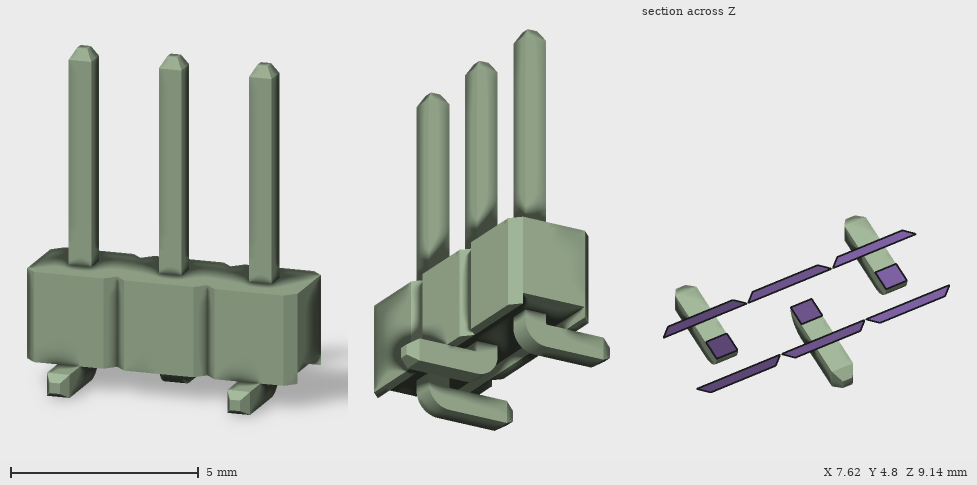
import cadquery as cq
import math

POLE_COUNT = 3
PITCH = 2.54

BLOCK_DEPTH = 2.495
BLOCK_HEIGHT = 2.5
CORNER_CHAMFER = 0.29
SLOT_HEIGHT = 0.3
SLOT_WIDTH = BLOCK_DEPTH - 2 * CORNER_CHAMFER

PIN_WIDTH = 0.64
PIN_TOP = 9.14
FOOT_REACH = 4.8 / 2
TIP_LENGTH = 0.3
TIP_WIDTH = 0.29
OUTER_BEND_RADIUS = 0.65
INNER_BEND_RADIUS = 0.05

BLOCK_BOTTOM = PIN_WIDTH
HALF_PIN = PIN_WIDTH / 2
TIP_TAPER = math.degrees(math.atan2((PIN_WIDTH - TIP_WIDTH) / 2, TIP_LENGTH))


def make_block():
    """Chamfered block with a channel across its underside."""
    block = (
        cq.Workplane("XY", origin=(0, 0, BLOCK_BOTTOM))
        .rect(PITCH, BLOCK_DEPTH)
        .extrude(BLOCK_HEIGHT)
        .edges("|Z")
        .chamfer(CORNER_CHAMFER)
    )
    slot = (
        cq.Workplane("XY", origin=(0, 0, BLOCK_BOTTOM))
        .rect(PITCH, SLOT_WIDTH)
        .extrude(SLOT_HEIGHT)
    )
    return block.cut(slot)


def make_tip(base_plane):
    """Square frustum that narrows a pin end along the plane normal."""
    return cq.Workplane(base_plane).rect(PIN_WIDTH, PIN_WIDTH).extrude(TIP_LENGTH, taper=TIP_TAPER)


def make_pin(side):
    """L-shaped pin whose foot points to +Y (side = 1) or -Y (side = -1)."""
    shank_top = PIN_TOP - TIP_LENGTH
    foot_end = FOOT_REACH - TIP_LENGTH
    outer_corner = (-side * HALF_PIN, 0)
    inner_corner = (side * HALF_PIN, PIN_WIDTH)
    shaft = (
        cq.Workplane("YZ")
        .polyline([
            (-side * HALF_PIN, shank_top),
            outer_corner,
            (side * foot_end, 0),
            (side * foot_end, PIN_WIDTH),
            inner_corner,
            (side * HALF_PIN, shank_top),
        ])
        .close()
        .extrude(HALF_PIN, both=True)
    )
    shaft = shaft.edges(cq.NearestToPointSelector((0, *outer_corner))).fillet(OUTER_BEND_RADIUS)
    shaft = shaft.edges(cq.NearestToPointSelector((0, *inner_corner))).fillet(INNER_BEND_RADIUS)
    top_plane = cq.Plane(origin=(0, 0, shank_top), normal=(0, 0, 1))
    foot_plane = cq.Plane(origin=(0, side * foot_end, HALF_PIN), xDir=(1, 0, 0), normal=(0, side, 0))
    return shaft.union(make_tip(top_plane)).union(make_tip(foot_plane))


def make_pole(side):
    """One complete pole, centred on the Z axis."""
    return make_block().union(make_pin(side))


poles = []
for index in range(POLE_COUNT):
    foot_side = 1 if index % 2 else -1
    x = (index - (POLE_COUNT - 1) / 2) * PITCH
    poles.append(make_pole(foot_side).translate((x, 0, 0)).solids().val())

result = cq.Compound.makeCompound(poles)